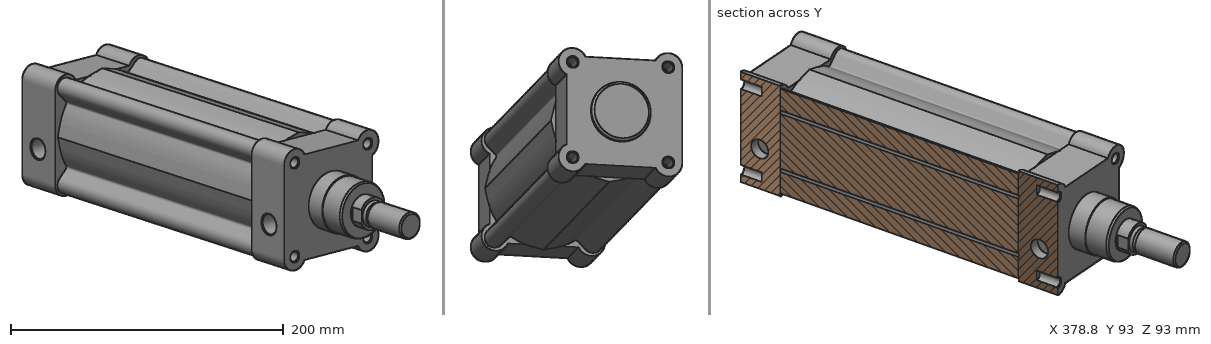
import cadquery as cq
import math

TOTAL_LENGTH = 378.8
REAR_BOSS_LENGTH = 3.8
REAR_CAP_LENGTH = 36.5
BARREL_LENGTH = 216.0
FRONT_CAP_LENGTH = 35.5

REAR_CAP_START = REAR_BOSS_LENGTH
BARREL_START = REAR_CAP_START + REAR_CAP_LENGTH
FRONT_CAP_START = BARREL_START + BARREL_LENGTH
FRONT_CAP_END = FRONT_CAP_START + FRONT_CAP_LENGTH

BOLT_OFFSET = 36.0
CORNER_RADIUS = 10.5
PORT_FACE_Y = -(BOLT_OFFSET + CORNER_RADIUS)
CAP_HALF_WIDTH = 40.5
BOLT_HOLE_RADIUS = 3.8
BOLT_HOLE_DEPTH = 19.0
BOLT_HOLE_CHAMFER = 0.8
PORT_RADIUS = 7.5
PORT_CHAMFER = 0.8
PORT_DEPTH = 19.0
PORT_Z = -13.0
PORT_FROM_BARREL = 19.0

BOSS_RADIUS = 22.5
REAR_BOSS_CHAMFER_LENGTH = 1.5
REAR_BOSS_CHAMFER_HEIGHT = 2.0
FRONT_BOSS_LENGTH = 14.8
NOSE_RADIUS = 21.5
NOSE_LENGTH = 20.5
NOSE_CHAMFER_LENGTH = 2.0
NOSE_CHAMFER_HEIGHT = 0.8
NOSE_END = FRONT_CAP_END + FRONT_BOSS_LENGTH + NOSE_LENGTH

BARREL_RADIUS = 42.8
RIDGE_TANGENT = 10.0
RIDGE_FOOT = math.sqrt(BARREL_RADIUS**2 - RIDGE_TANGENT**2)
RIDGE_APEX = BARREL_RADIUS**2 / RIDGE_FOOT
LOBE_OFFSET = 37.0
LOBE_RADIUS = 7.2
NECK_FILLET = 2.0

ROD_RADIUS = 12.5
ROD_END = 337.5
WRENCH_FLAT_Y = 11.5
WRENCH_FLAT_GAP = 1.0
WRENCH_FLAT_START = NOSE_END + WRENCH_FLAT_GAP
THREAD_RADIUS = 10.2
RELIEF_RADIUS = 9.0
RELIEF_BOTTOM = 340.0
RELIEF_END = 343.2
TIP_CHAMFER = 1.0


def section_at(x):
    """Workplane across the axis at x, with local axes Y and Z."""
    return cq.Workplane("YZ", origin=(x, 0, 0))


def corner_points(offset):
    return [(y, z) for y in (-offset, offset) for z in (-offset, offset)]


def revolve_profile(points):
    """Turn an (x, radius) outline about the cylinder axis."""
    return cq.Workplane("XY").polyline(points).close().revolve(360, (0, 0, 0), (1, 0, 0))


def cap_block(start, length):
    """Square block with round corner lobes and a full-width port side at -Y."""
    block = section_at(start).rect(2 * CAP_HALF_WIDTH, 2 * CAP_HALF_WIDTH).extrude(length)
    lobes = section_at(start).pushPoints(corner_points(BOLT_OFFSET)).circle(CORNER_RADIUS).extrude(length)
    port_side = (
        section_at(start)
        .center(PORT_FACE_Y / 2, 0)
        .rect(-PORT_FACE_Y, 2 * BOLT_OFFSET)
        .extrude(length)
    )
    return block.union(lobes).union(port_side).clean()


def cut_port(cap, x):
    """Chamfered blind air port in the -Y side."""
    mouth = PORT_RADIUS + PORT_CHAMFER
    bottom = PORT_FACE_Y + PORT_DEPTH
    port = (
        cq.Workplane("XY")
        .polyline([
            (0, PORT_FACE_Y),
            (mouth, PORT_FACE_Y),
            (PORT_RADIUS, PORT_FACE_Y + PORT_CHAMFER),
            (PORT_RADIUS, bottom),
            (0, bottom),
        ])
        .close()
        .revolve(360, (0, 0, 0), (0, 1, 0))
        .translate((x, 0, PORT_Z))
    )
    return cap.cut(port)


def cut_bolt_holes(cap, face_x, inward):
    """Chamfered blind bolt holes in an outer cap face; inward is +1 or -1 along X."""
    mouth = BOLT_HOLE_RADIUS + BOLT_HOLE_CHAMFER
    bottom = face_x + inward * BOLT_HOLE_DEPTH
    hole = revolve_profile([
        (face_x, 0),
        (face_x, mouth),
        (face_x + inward * BOLT_HOLE_CHAMFER, BOLT_HOLE_RADIUS),
        (bottom, BOLT_HOLE_RADIUS),
        (bottom, 0),
    ])
    for y, z in corner_points(BOLT_OFFSET):
        cap = cap.cut(hole.translate((0, y, z)))
    return cap


def make_rear_cap():
    boss = revolve_profile([
        (0, 0),
        (0, BOSS_RADIUS - REAR_BOSS_CHAMFER_HEIGHT),
        (REAR_BOSS_CHAMFER_LENGTH, BOSS_RADIUS),
        (REAR_CAP_START, BOSS_RADIUS),
        (REAR_CAP_START, 0),
    ])
    cap = cap_block(REAR_CAP_START, REAR_CAP_LENGTH).union(boss)
    cap = cut_port(cap, BARREL_START - PORT_FROM_BARREL)
    return cut_bolt_holes(cap, REAR_CAP_START, 1)


def make_front_cap():
    step = FRONT_CAP_END + FRONT_BOSS_LENGTH
    nose = revolve_profile([
        (FRONT_CAP_END, 0),
        (FRONT_CAP_END, BOSS_RADIUS),
        (step, BOSS_RADIUS),
        (step, NOSE_RADIUS),
        (NOSE_END - NOSE_CHAMFER_LENGTH, NOSE_RADIUS),
        (NOSE_END, NOSE_RADIUS - NOSE_CHAMFER_HEIGHT),
        (NOSE_END, 0),
    ])
    cap = cap_block(FRONT_CAP_START, FRONT_CAP_LENGTH).union(nose)
    cap = cut_port(cap, FRONT_CAP_START + PORT_FROM_BARREL)
    cap = cut_bolt_holes(cap, FRONT_CAP_END, -1)
    rod_bore = section_at(FRONT_CAP_START).circle(ROD_RADIUS).extrude(NOSE_END - FRONT_CAP_START)
    return cap.cut(rod_bore)


def make_barrel():
    """Round barrel with a shallow ridge on each side and a lobe on each diagonal."""
    barrel = section_at(BARREL_START).circle(BARREL_RADIUS).extrude(BARREL_LENGTH)

    lobe_reach = LOBE_OFFSET * math.sqrt(2)
    lobe = (
        section_at(BARREL_START)
        .moveTo(0, -LOBE_RADIUS)
        .lineTo(lobe_reach, -LOBE_RADIUS)
        .threePointArc((lobe_reach + LOBE_RADIUS, 0), (lobe_reach, LOBE_RADIUS))
        .lineTo(0, LOBE_RADIUS)
        .close()
        .extrude(BARREL_LENGTH)
    )
    for angle in (45, 135, 225, 315):
        barrel = barrel.union(lobe.rotate((0, 0, 0), (1, 0, 0), angle))

    neck_half = math.sqrt(BARREL_RADIUS**2 - LOBE_RADIUS**2)
    near = (neck_half - LOBE_RADIUS) / math.sqrt(2)
    far = (neck_half + LOBE_RADIUS) / math.sqrt(2)
    mid_x = BARREL_START + BARREL_LENGTH / 2
    for y_size, z_size in ((near, far), (far, near)):
        for y_sign in (-1, 1):
            for z_sign in (-1, 1):
                neck_edge = cq.NearestToPointSelector((mid_x, y_sign * y_size, z_sign * z_size))
                barrel = barrel.edges("|X").edges(neck_edge).fillet(NECK_FILLET)

    ridge = (
        section_at(BARREL_START)
        .polyline([(0, 0), (RIDGE_FOOT, -RIDGE_TANGENT), (RIDGE_APEX, 0), (RIDGE_FOOT, RIDGE_TANGENT)])
        .close()
        .extrude(BARREL_LENGTH)
    )
    for angle in (0, 90, 180, 270):
        barrel = barrel.union(ridge.rotate((0, 0, 0), (1, 0, 0), angle))
    return barrel


def make_rod():
    """Rod seated against the barrel end, with wrench flats and a threaded tip."""
    rod = revolve_profile([
        (FRONT_CAP_START, 0),
        (FRONT_CAP_START, ROD_RADIUS),
        (ROD_END, ROD_RADIUS),
        (ROD_END, THREAD_RADIUS),
        (RELIEF_BOTTOM, RELIEF_RADIUS),
        (RELIEF_END, THREAD_RADIUS),
        (TOTAL_LENGTH - TIP_CHAMFER, THREAD_RADIUS),
        (TOTAL_LENGTH, THREAD_RADIUS - TIP_CHAMFER),
        (TOTAL_LENGTH, 0),
    ])
    flat_length = ROD_END - WRENCH_FLAT_START
    for side in (-1, 1):
        flat = cq.Workplane("XY").box(flat_length, ROD_RADIUS, 2 * ROD_RADIUS).translate(
            (WRENCH_FLAT_START + flat_length / 2, side * (WRENCH_FLAT_Y + ROD_RADIUS / 2), 0)
        )
        rod = rod.cut(flat)
    return rod


rear_cap = make_rear_cap()
barrel = make_barrel()
front_cap = make_front_cap()
rod = make_rod()

result = cq.Compound.makeCompound([rear_cap.val(), barrel.val(), front_cap.val(), rod.val()])